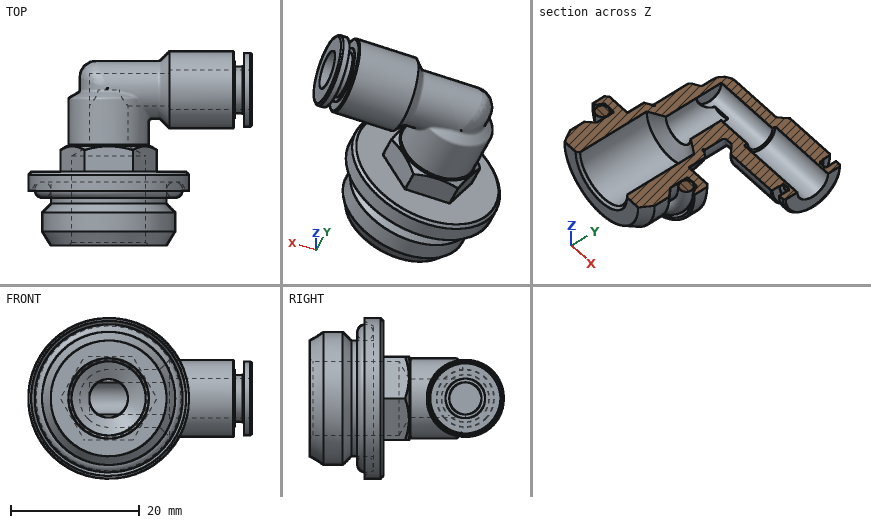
import cadquery as cq
import math


elbow_radius = 9.0 / 2
elbow_leg_length = 7.95
corner_offset = 0.3
corner_fillet = 2.5
blend_fillet = 0.5
housing_radius = 12.0 / 2
housing_cone_start = elbow_leg_length
housing_cone_end = housing_cone_start + housing_radius - elbow_radius
housing_end = 19.5
housing_chamfer = 0.2
lip_radius = 8.8 / 2
lip_length = 0.1
lip_end = housing_end + lip_length
sleeve_radius = 7.3 / 2
button_radius = 11.5 / 2
button_end = 22.3
button_thickness = 1.3
button_start = button_end - button_thickness
button_chamfer = 0.3
button_hub_radius = 7.46 / 2
button_hub_length = 0.2

select_margin = 0.01

boss_radius = 12.5 / 2
boss_cone_top = -0.27
boss_cone_angle = math.radians(30)
boss_cone_bottom = boss_cone_top - (boss_radius - elbow_radius) * math.tan(boss_cone_angle)
boss_bottom = -8.5
swivel_gap_radius = 12.0 / 2
hex_top = -8.7
hex_across_flats = 13.0
hex_corner_radius = hex_across_flats / math.sqrt(3)
hex_corner_drop = 0.65
hex_chamfer_angle = math.radians(30)
flange_radius = 25.0 / 2
flange_top = -12.7
flange_thickness = 3.0
flange_face = flange_top - flange_thickness
flange_chamfer = 0.5
neck_radius = 18.0 / 2
neck_bottom = -17.7
thread_radius = 20.7 / 2
thread_top = neck_bottom - (thread_radius - neck_radius)
stud_end = -24.2
stud_tip_radius = 9.0
stud_tip_length = 2.2

seal_section_radius = 2.5 / 2
seal_bottom = -16.8
seal_centre_radius = neck_radius + seal_section_radius
seal_centre_y = seal_bottom + seal_section_radius
recess_floor = seal_centre_y + seal_section_radius
recess_mouth_radius = 12.05
recess_wall_angle = math.radians(30)
recess_floor_radius = recess_mouth_radius - (recess_floor - flange_face) * math.tan(recess_wall_angle)

stud_bore_mouth_radius = 12.5 / 2
stud_bore_radius = 11.5 / 2
stud_bore_chamfer = stud_bore_mouth_radius - stud_bore_radius
stud_bore_chamfer_end = stud_end + stud_bore_chamfer
stud_passage_radius = 6.0 / 2
stud_taper_angle = math.radians(60)
stud_taper_end = -8.7
stud_taper_length = (stud_bore_radius - stud_passage_radius) / math.tan(stud_taper_angle)
stud_taper_start = stud_taper_end - stud_taper_length
tube_passage_radius = 5.0 / 2
tube_passage_end = -stud_passage_radius
socket_radius = 6.15 / 2
socket_floor = housing_cone_end


def revolve_about_x(outline):
    """Turn (x, radius) points into a solid around the X axis."""
    return cq.Workplane("XY").polyline(outline).close().revolve(360, (0, 0, 0), (1, 0, 0))


def revolve_about_y(outline):
    """Turn (radius, y) points into a solid around the Y axis."""
    return cq.Workplane("XY").polyline(outline).close().revolve(360, (0, 0, 0), (0, 1, 0))


def make_sharp_elbow():
    """Two round legs of equal size meeting on a 45 degree mitre."""
    mitre_reach = 2 * elbow_leg_length
    below_mitre = (
        cq.Workplane("XY")
        .polyline([(-mitre_reach, mitre_reach), (mitre_reach, -mitre_reach), (-mitre_reach, -mitre_reach)])
        .close()
        .extrude(mitre_reach, both=True)
    )
    r = elbow_radius
    length = elbow_leg_length
    tube_leg = revolve_about_x([(-length, 0), (-length, r), (length, r), (length, 0)])
    stud_leg = revolve_about_y([(0, -length), (r, -length), (r, length), (0, length)])
    return tube_leg.cut(below_mitre).union(stud_leg.intersect(below_mitre))


def make_elbow():
    """The mitred elbow with its outer corner rounded."""
    sharp_elbow = make_sharp_elbow()
    block = 4 * elbow_leg_length
    outer_half = (
        cq.Workplane("XY")
        .box(block, block, block)
        .translate((-block / 2 - corner_offset, 0, 0))
        .rotate((0, 0, 0), (0, 0, 1), -45)
    )
    corner = sharp_elbow.intersect(outer_half)
    on_mitre = cq.selectors.BoxSelector(
        (-elbow_radius, 0, -elbow_radius), (-elbow_radius / 2, elbow_radius, elbow_radius)
    )
    corner = corner.edges("%ELLIPSE").edges(on_mitre).fillet(corner_fillet)
    return sharp_elbow.cut(outer_half).union(corner)


def make_boss():
    """Round boss under the elbow, with a shallow cone up to the elbow."""
    return revolve_about_y([
        (0, boss_cone_top),
        (elbow_radius, boss_cone_top),
        (boss_radius, boss_cone_bottom),
        (boss_radius, boss_bottom),
        (0, boss_bottom),
    ])


def make_collet_housing():
    """Housing on the tube leg with its release sleeve and button."""
    return revolve_about_x([
        (housing_cone_start, 0),
        (housing_cone_start, elbow_radius),
        (housing_cone_end, housing_radius),
        (housing_end - housing_chamfer, housing_radius),
        (housing_end, housing_radius - housing_chamfer),
        (housing_end, lip_radius),
        (lip_end, lip_radius),
        (lip_end, sleeve_radius),
        (button_start - button_hub_length, sleeve_radius),
        (button_start - button_hub_length, button_hub_radius),
        (button_start, button_hub_radius),
        (button_start, button_radius),
        (button_end - button_chamfer, button_radius),
        (button_end, button_radius - button_chamfer),
        (button_end, 0),
    ])


def make_hexagon():
    """Spanner hexagon with corners on the X axis and a chamfered top."""
    hexagon = (
        cq.Workplane("XZ", origin=(0, hex_top, 0))
        .polygon(6, 2 * hex_corner_radius)
        .extrude(hex_top - flange_top)
    )
    hex_top_radius = hex_corner_radius - hex_corner_drop / math.tan(hex_chamfer_angle)
    chamfer_cone = revolve_about_y([
        (0, hex_top),
        (hex_top_radius, hex_top),
        (hex_corner_radius, hex_top - hex_corner_drop),
        (hex_corner_radius, flange_top),
        (0, flange_top),
    ])
    return hexagon.intersect(chamfer_cone)


def make_stud():
    """Swivel gap, flange with its seal recess, neck and thread blank."""
    return revolve_about_y([
        (0, boss_bottom),
        (swivel_gap_radius, boss_bottom),
        (swivel_gap_radius, flange_top),
        (flange_radius - flange_chamfer, flange_top),
        (flange_radius, flange_top - flange_chamfer),
        (flange_radius, flange_face),
        (recess_mouth_radius, flange_face),
        (recess_floor_radius, recess_floor),
        (neck_radius, recess_floor),
        (neck_radius, neck_bottom),
        (thread_radius, thread_top),
        (thread_radius, stud_end + stud_tip_length),
        (stud_tip_radius, stud_end),
        (0, stud_end),
    ])


def make_stud_passage():
    """Chamfered mouth, plain bore, taper and round passage up to the tube axis."""
    return revolve_about_y([
        (0, stud_end),
        (stud_bore_mouth_radius, stud_end),
        (stud_bore_radius, stud_bore_chamfer_end),
        (stud_bore_radius, stud_taper_start),
        (stud_passage_radius, stud_taper_end),
        (stud_passage_radius, 0),
        (0, 0),
    ])


def make_tube_passage():
    """Tube socket and the smaller passage behind it."""
    return revolve_about_x([
        (tube_passage_end, 0),
        (tube_passage_end, tube_passage_radius),
        (socket_floor, tube_passage_radius),
        (socket_floor, socket_radius),
        (button_end, socket_radius),
        (button_end, 0),
    ])


def make_elbow_on_boss():
    """Elbow joined to its boss, with the shoulder and the join blended."""
    joined = make_elbow().union(make_boss())
    around_shoulder = cq.selectors.BoxSelector(
        (-boss_radius, -boss_radius, -boss_radius), (boss_radius, boss_cone_top + select_margin, boss_radius)
    )
    return joined.edges(around_shoulder).fillet(blend_fillet)


def make_fitting():
    """Elbow, housing, hexagon and stud as one solid, bored through."""
    body = make_elbow_on_boss().union(make_collet_housing())
    housing_root = cq.selectors.BoxSelector(
        (housing_cone_start - select_margin, -housing_radius, -housing_radius),
        (housing_cone_start + select_margin, housing_radius, housing_radius),
    )
    body = body.edges(housing_root).fillet(blend_fillet)
    body = body.union(make_hexagon()).union(make_stud())
    return body.cut(make_stud_passage()).cut(make_tube_passage())


def make_seal_ring():
    """O-ring in the flange recess, around the neck."""
    return (
        cq.Workplane("XY")
        .center(seal_centre_radius, seal_centre_y)
        .circle(seal_section_radius)
        .revolve(360, (-seal_centre_radius, 0, 0), (-seal_centre_radius, 1, 0))
    )


fitting = make_fitting()
seal_ring = make_seal_ring()

result = cq.Compound.makeCompound([fitting.val(), seal_ring.val()])